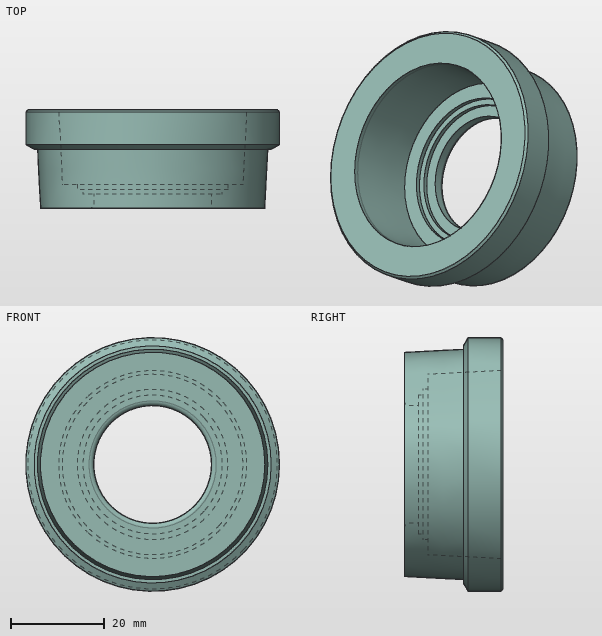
import cadquery as cq
import math

flange_radius = 54 / 2
total_length = 21.0

spigot_length = 12.55
spigot_root_radius = 49.05 / 2
spigot_taper = math.radians(3)
spigot_tip_radius = spigot_root_radius - spigot_length * math.tan(spigot_taper)

front_bevel_length = 1.0
front_bevel_depth = front_bevel_length / math.tan(math.radians(30))
back_chamfer = 0.5

lip_radius = 25.0 / 2
lip_length = 3.0
lip_fillet = 1.0
small_step_radius = 29.6 / 2
small_step_end = 4.0
large_step_radius = 32.0 / 2
cavity_floor = 5.0
mouth_radius = 40.0 / 2
mouth_length = 1.0
mouth_start = total_length - mouth_length
cavity_taper = math.radians(3)
cavity_floor_radius = mouth_radius - (mouth_start - cavity_floor) * math.tan(cavity_taper)

fillet_center_radius = lip_radius + lip_fillet
fillet_offset = lip_fillet * math.sqrt(0.5)
fillet_middle = (fillet_center_radius - fillet_offset, lip_fillet - fillet_offset)

section = (
    cq.Workplane("XY")
    .moveTo(fillet_center_radius, 0)
    .lineTo(spigot_tip_radius, 0)
    .lineTo(spigot_root_radius, spigot_length)
    .lineTo(flange_radius - front_bevel_depth, spigot_length)
    .lineTo(flange_radius, spigot_length + front_bevel_length)
    .lineTo(flange_radius, total_length - back_chamfer)
    .lineTo(flange_radius - back_chamfer, total_length)
    .lineTo(mouth_radius, total_length)
    .lineTo(mouth_radius, mouth_start)
    .lineTo(cavity_floor_radius, cavity_floor)
    .lineTo(large_step_radius, cavity_floor)
    .lineTo(large_step_radius, small_step_end)
    .lineTo(small_step_radius, small_step_end)
    .lineTo(small_step_radius, lip_length)
    .lineTo(lip_radius, lip_length)
    .lineTo(lip_radius, lip_fillet)
    .threePointArc(fillet_middle, (fillet_center_radius, 0))
    .close()
)

result = section.revolve(360, (0, 0, 0), (0, 1, 0))